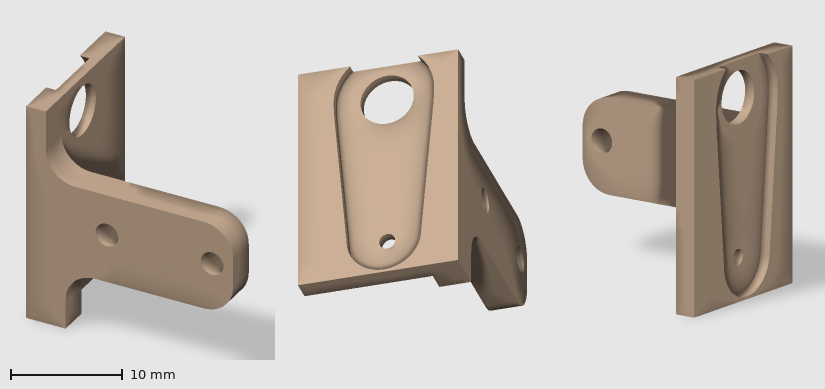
import cadquery as cq
import math

plate_thickness = 2.0
plate_width = 15.0
plate_height = 22.0

arm_reach = 21.0
arm_thickness = 3.0
arm_bottom = 6.0
arm_top = 15.0
corner_radius = 3.0
foot_reach = 4.0

arm_hole_diameter = 2.3
arm_hole_height = 10.9
arm_hole_positions = (8.2, 18.9)

pocket_depth = 1.0
pocket_y = 6.95
upper_z = 18.52
upper_radius = 4.7
upper_hole_diameter = 5.0
bend_tangent_length = 0.92
lower_z = 3.75
lower_radius = 3.5
lower_hole_diameter = 1.5


def make_bracket_arm():
    """Arm and foot profile, with inner fillets and a rounded free end."""
    profile = [
        (0, 0),
        (foot_reach, 0),
        (foot_reach, arm_bottom),
        (arm_reach, arm_bottom),
        (arm_reach, arm_top),
        (plate_thickness, arm_top),
        (plate_thickness, plate_height),
        (0, plate_height),
    ]
    rounded_corners = (profile[2], profile[3], profile[4], profile[5])
    arm = cq.Workplane("XZ").polyline(profile).close().extrude(-arm_thickness)
    for x, z in rounded_corners:
        middle = (x, arm_thickness / 2, z)
        arm = arm.edges(cq.NearestToPointSelector(middle)).fillet(corner_radius)
    return arm


def make_pocket():
    """Two semicircular ends joined by tapered sides that bend upright near the top."""
    bend_z = upper_z - bend_tangent_length
    taper = math.atan((upper_radius - lower_radius) / (bend_z - lower_z))
    taper_half_width = upper_radius - bend_tangent_length * math.sin(taper)
    taper_top_z = bend_z - bend_tangent_length * math.cos(taper)
    return (
        cq.Workplane("YZ")
        .moveTo(pocket_y - upper_radius, upper_z)
        .threePointArc((pocket_y, upper_z + upper_radius), (pocket_y + upper_radius, upper_z))
        .tangentArcPoint((pocket_y + taper_half_width, taper_top_z), relative=False)
        .lineTo(pocket_y + lower_radius, lower_z)
        .threePointArc((pocket_y, lower_z - lower_radius), (pocket_y - lower_radius, lower_z))
        .lineTo(pocket_y - taper_half_width, taper_top_z)
        .tangentArcPoint((pocket_y - upper_radius, upper_z), relative=False)
        .close()
        .extrude(pocket_depth)
    )


def make_plate_hole(center_z, diameter):
    return (
        cq.Workplane("YZ")
        .center(pocket_y, center_z)
        .circle(diameter / 2)
        .extrude(plate_thickness)
    )


def make_arm_holes():
    return (
        cq.Workplane("XZ")
        .pushPoints([(x, arm_hole_height) for x in arm_hole_positions])
        .circle(arm_hole_diameter / 2)
        .extrude(-arm_thickness)
    )


plate = cq.Workplane("XY").box(plate_thickness, plate_width, plate_height, centered=False)

result = (
    plate.union(make_bracket_arm())
    .cut(make_arm_holes())
    .cut(make_pocket())
    .cut(make_plate_hole(upper_z, upper_hole_diameter))
    .cut(make_plate_hole(lower_z, lower_hole_diameter))
)